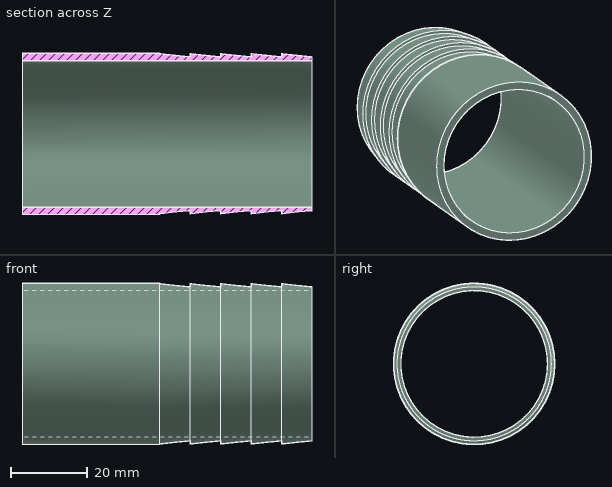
import cadquery as cq

length = 76.0
outer_diameter = 42.4
bore_diameter = 38.4

plain_length = 36.0
barb_count = 5
crest_diameter = 42.1
root_diameter = 40.4

outer_radius = outer_diameter / 2
crest_radius = crest_diameter / 2
root_radius = root_diameter / 2
start_x = -length / 2
end_x = length / 2
barbs_start_x = start_x + plain_length
barb_pitch = (length - plain_length) / barb_count


def barbed_body():
    """Solid of revolution: plain cylinder followed by the row of barbs."""
    profile = cq.Workplane("XY").moveTo(start_x, 0).lineTo(start_x, outer_radius)
    profile = profile.lineTo(barbs_start_x, outer_radius)
    for index in range(barb_count):
        crest_x = barbs_start_x + index * barb_pitch
        profile = profile.lineTo(crest_x, crest_radius)
        profile = profile.lineTo(crest_x + barb_pitch, root_radius)
    profile = profile.lineTo(end_x, 0).close()
    return profile.revolve(360, (0, 0, 0), (1, 0, 0))


def bore():
    """Cylinder that opens the tube from end to end."""
    return cq.Workplane("YZ", origin=(start_x, 0, 0)).circle(bore_diameter / 2).extrude(length)


result = barbed_body().cut(bore())